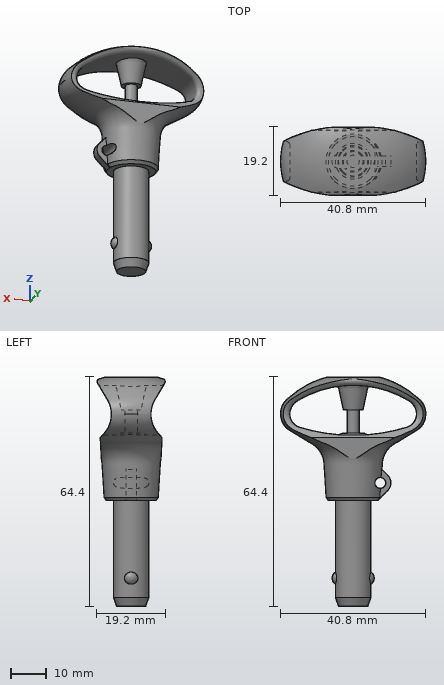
import cadquery as cq
import math

shank_radius = 5.0
shank_length = 29.7
tip_radius = 4.1
tip_height = 2.5

ball_radius = 2.0
ball_reach = 5.95
ball_height_above_tip = 7.95

socket_top_z = 9.9
socket_top_radius = 8.2
socket_bottom_radius = 7.65
socket_chamfer_width = 0.7
socket_chamfer_height = 0.95

handle_top_z = 34.7
handle_radius = 20.42
widest_z = 24.3
crown_radius = 7.5
neck_point = (9.45, 14.0)
flare_point = (12.6, 16.5)
underside_point = (18.0, 19.8)
lower_rim_point = (20.0, 22.2)
upper_rim_point = (19.9, 26.8)
shoulder_point = (18.27, 28.8)
dome_point = (13.2, 32.41)
seam_angle = 45.0

base_bottom_half_width = 7.8
base_half_width = 8.73
base_lip_z = 17.7
waist_corner_half_width = 3.6
waist_corner_z = 23.2
waist_fillet = 8.2
lip_corner_half_width = 10.015
lip_corner_z = 33.94
lip_fillet = 0.8
bevel_half_width = 7.45

opening_half_length = 17.75
opening_top_z = 32.4
opening_floor_z = 18.4
opening_upper_end_radius = 4.4
opening_lower_end_radius = 3.8
opening_edge_fillet = 1.1

button_root_radius = 4.6
button_root_z = 32.9
button_cone_radius = 4.05
button_cone_z = 31.4
button_bottom_radius = 2.87
button_bottom_z = 25.5
button_chamfer_width = 0.1
button_chamfer_height = 0.4
rod_radius = 1.72
collar_top_radius = 3.06
collar_top_z = 19.0
collar_base_radius = 4.45
collar_root_depth = 1.0

tag_hole_x = 7.63
tag_hole_z = 5.0
tag_hole_radius = 1.5
tag_radius = 3.0
tag_thickness = 3.0

edge_search = 0.1


def make_shank():
    pin = cq.Workplane("XY").circle(shank_radius).extrude(-shank_length)
    return pin.faces("<Z").chamfer(tip_height, shank_radius - tip_radius)


def make_balls():
    center_x = ball_reach - ball_radius
    center_z = ball_height_above_tip - shank_length
    centers = [(center_x, 0, center_z), (-center_x, 0, center_z)]
    return cq.Workplane("XY").pushPoints(centers).sphere(ball_radius)


def turn_about_z(half_outline):
    return half_outline.revolve(360, (0, 0, 0), (0, 1, 0))


def make_turned_handle():
    half_outline = (
        cq.Workplane("XZ")
        .lineTo(socket_bottom_radius - socket_chamfer_width, 0)
        .lineTo(socket_bottom_radius, socket_chamfer_height)
        .lineTo(socket_top_radius, socket_top_z)
        .threePointArc(neck_point, flare_point)
        .lineTo(*underside_point)
        .threePointArc(lower_rim_point, (handle_radius, widest_z))
        .threePointArc(upper_rim_point, shoulder_point)
        .threePointArc(dome_point, (crown_radius, handle_top_z))
        .lineTo(0, handle_top_z)
        .close()
    )
    return turn_about_z(half_outline).rotate((0, 0, 0), (0, 0, 1), seam_angle)


def opening_crossing(height, end_radius):
    """Point where an end arc runs smoothly into the long arc.

    The long arc peaks at `height` from the widest level; the result is (x, distance from that level).
    """
    end_center_x = opening_half_length - end_radius
    long_radius = (end_center_x**2 + height**2 - end_radius**2) / (2 * (height - end_radius))
    x = end_center_x * long_radius / (long_radius - end_radius)
    return x, height - long_radius + math.sqrt(long_radius**2 - x**2)


def make_opening():
    upper_x, upper_rise = opening_crossing(opening_top_z - widest_z, opening_upper_end_radius)
    lower_x, lower_drop = opening_crossing(widest_z - opening_floor_z, opening_lower_end_radius)
    upper_z = widest_z + upper_rise
    lower_z = widest_z - lower_drop
    outline = (
        cq.Workplane("XZ")
        .moveTo(-upper_x, upper_z)
        .threePointArc((0, opening_top_z), (upper_x, upper_z))
        .tangentArcPoint((opening_half_length, widest_z), relative=False)
        .tangentArcPoint((lower_x, lower_z), relative=False)
        .threePointArc((0, opening_floor_z), (-lower_x, lower_z))
        .tangentArcPoint((-opening_half_length, widest_z), relative=False)
        .tangentArcPoint((-upper_x, upper_z), relative=False)
        .close()
    )
    return outline.extrude(handle_radius, both=True)


def fillet_edges_along_x(prism, half_width, z, radius):
    """Round the two edges along X that lie at +-half_width in Y and at height z."""
    low = (-handle_radius, -half_width - edge_search, z - edge_search)
    high = (handle_radius, half_width + edge_search, z + edge_search)
    return prism.edges("|X").edges(cq.selectors.BoxSelector(low, high)).fillet(radius)


def fillet_opening_rims(prism):
    low = (-opening_half_length - edge_search, -lip_corner_half_width, opening_floor_z - edge_search)
    high = (opening_half_length + edge_search, lip_corner_half_width, opening_top_z + edge_search)
    opening_edges = prism.edges(cq.selectors.BoxSelector(low, high, boundingbox=True))
    return opening_edges.edges("not |Y").fillet(opening_edge_fillet)


def make_waist():
    """Prism along X with the handle's narrowing outline in the YZ plane, pierced by the opening."""
    outline = (
        cq.Workplane("YZ")
        .lineTo(base_bottom_half_width, 0)
        .lineTo(base_half_width, base_lip_z)
        .lineTo(waist_corner_half_width, waist_corner_z)
        .lineTo(lip_corner_half_width, lip_corner_z)
        .lineTo(bevel_half_width, handle_top_z)
        .lineTo(0, handle_top_z)
        .mirrorY()
    )
    prism = outline.extrude(handle_radius, both=True)
    prism = fillet_edges_along_x(prism, waist_corner_half_width, waist_corner_z, waist_fillet)
    prism = fillet_edges_along_x(prism, lip_corner_half_width, lip_corner_z, lip_fillet)
    return fillet_opening_rims(prism.cut(make_opening()))


def make_button():
    """Button, rod and collar turned in one piece, rooted in the bars above and below the opening."""
    collar_root_z = opening_floor_z - collar_root_depth
    half_outline = (
        cq.Workplane("XZ")
        .moveTo(0, collar_root_z)
        .lineTo(collar_base_radius, collar_root_z)
        .lineTo(collar_base_radius, opening_floor_z)
        .lineTo(collar_top_radius, collar_top_z)
        .lineTo(rod_radius, collar_top_z)
        .lineTo(rod_radius, button_bottom_z)
        .lineTo(button_bottom_radius - button_chamfer_width, button_bottom_z)
        .lineTo(button_bottom_radius, button_bottom_z + button_chamfer_height)
        .lineTo(button_cone_radius, button_cone_z)
        .lineTo(button_root_radius, button_root_z)
        .lineTo(0, button_root_z)
        .close()
    )
    return turn_about_z(half_outline)


def make_tag():
    """Plate with 45-degree sides that meet in a corner rounded around the lanyard hole."""
    corner_offset = tag_radius * math.sqrt(2)
    corner_x = tag_hole_x + corner_offset
    plate = (
        cq.Workplane("XZ")
        .lineTo(corner_x - tag_hole_z, 0)
        .lineTo(corner_x, tag_hole_z)
        .lineTo(tag_hole_x, tag_hole_z + corner_offset)
        .lineTo(0, tag_hole_z + corner_offset)
        .close()
        .extrude(tag_thickness / 2, both=True)
    )
    return plate.edges(">X").fillet(tag_radius)


def make_tag_hole():
    center = cq.Workplane("XZ").center(tag_hole_x, tag_hole_z)
    return center.circle(tag_hole_radius).extrude(handle_radius, both=True)


handle = make_turned_handle().intersect(make_waist())
assembled = handle.union(make_button()).union(make_tag()).union(make_shank()).union(make_balls())
result = assembled.cut(make_tag_hole())